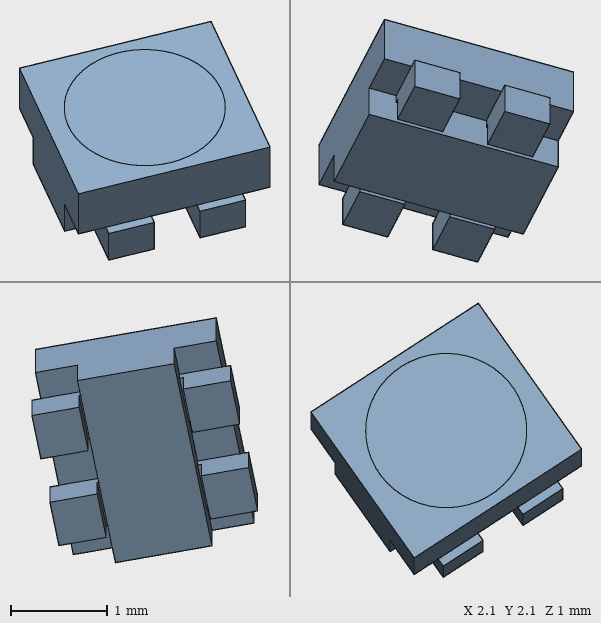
import cadquery as cq

total_span = 2.1
total_height = 1.0

slab_width = 1.91
stem_width = 1.02
terminal_height = 0.4

lens_diameter = 1.672
lens_depth = 0.3

foot_length = 0.5
terminal_width = 0.5
terminal_pitch = 1.0
tab_thickness = 0.1


def make_housing():
    """T-shaped body with a round recess in its top face."""
    stem = cq.Workplane("XY").box(
        stem_width, total_span, total_height, centered=(True, True, False)
    )
    slab = (
        cq.Workplane("XY", origin=(0, 0, terminal_height))
        .rect(slab_width, total_span)
        .extrude(total_height - terminal_height)
    )
    return stem.union(slab).cut(make_lens())


def make_lens():
    """Disc that fills the recess, flush with the top face."""
    return (
        cq.Workplane("XY", origin=(0, 0, total_height))
        .circle(lens_diameter / 2)
        .extrude(-lens_depth)
    )


def make_terminal(side, y_center):
    """L-shaped terminal on the +X (side = 1) or -X (side = -1) flank."""
    outer_x = side * total_span / 2
    foot_inner_x = side * (total_span / 2 - foot_length)
    stem_x = side * stem_width / 2
    tab_bottom = terminal_height - tab_thickness
    return (
        cq.Workplane("XZ", origin=(0, y_center, 0))
        .moveTo(outer_x, 0)
        .lineTo(outer_x, terminal_height)
        .lineTo(stem_x, terminal_height)
        .lineTo(stem_x, tab_bottom)
        .lineTo(foot_inner_x, tab_bottom)
        .lineTo(foot_inner_x, 0)
        .close()
        .extrude(terminal_width / 2, both=True)
    )


housing = make_housing()
lens = make_lens()
terminals = [
    make_terminal(side, y_side * terminal_pitch / 2)
    for side in (-1, 1)
    for y_side in (-1, 1)
]

result = cq.Compound.makeCompound(
    [housing.val(), lens.val(), *[terminal.val() for terminal in terminals]]
)